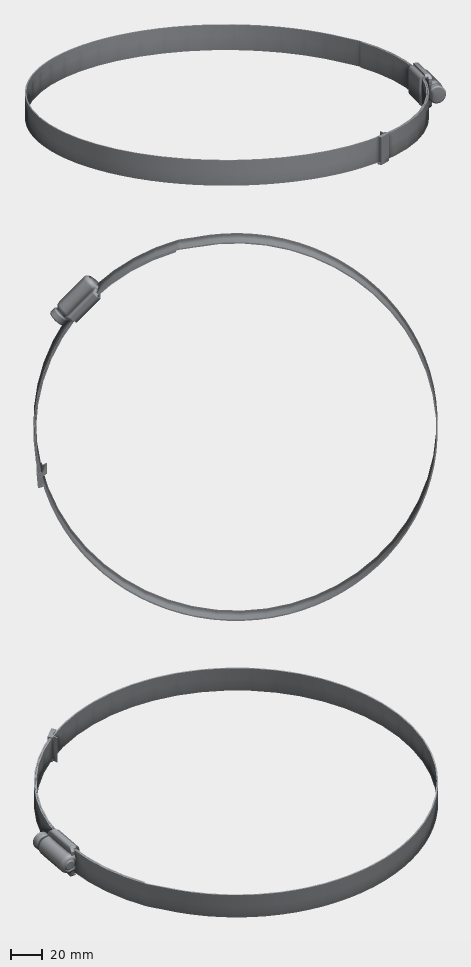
import cadquery as cq
import math


band_radius = 125.9
band_thickness = 0.8
band_half_width = 8.5
layer_gap = 0.13
inner_end_angle = 119.5
jog_top_angle = 120.5
jog_foot_angle = 125.0
tail_end_angle = 31.0
bore_radius = band_radius - band_thickness
tail_inner_radius = band_radius + layer_gap
tail_outer_radius = tail_inner_radius + band_thickness

saddle_start_x = -6.8
saddle_end_x = 15.0
saddle_bottom_y = 122.2
saddle_half_width = 10.0
saddle_sheet = 1.5
saddle_corner_radius = 2.6

flange_top_y = 129.5
flange_sheet = 2.0
flange_width = 23.0
flange_half_width = flange_width / 2
flange_corner_radius = 1.8
flange_overhang = 2.6
skirt_bottom_y = 125.5
dome_start_x = -10.5
dome_end_x = 18.2
dome_top_y = 137.5
dome_radius = 6.5
dome_end_fillet = 3.0
dome_center_y = dome_top_y - dome_radius
flange_underside_y = flange_top_y - flange_sheet

screw_axis_y = 131.0
shank_radius = 4.0
screw_clearance = 0.3
tip_chamfer = 1.0
head_start_x = 19.0
head_end_x = 24.2
head_radius = 5.8
head_fillet = 1.0

clip_angle = 32.3
clip_half_length = 4.7
clip_half_width = 9.2
clip_sheet = 0.8
clip_near_radius = 127.7
clip_far_radius = 129.3
clip_wall_foot_radius = 124.3
clip_wall_deep_offset = 1.5
lip_tip_radius = 121.5
lip_root_radius = 124.8
lip_root_offset = 2.0
lip_lean = 1.0


def polar(radius, angle):
    """Point in the XY plane at an angle in degrees from +X."""
    return (radius * math.cos(math.radians(angle)), radius * math.sin(math.radians(angle)))


def make_band():
    """Strip wound once around, stepping outward to run over its own inner end."""
    half_turn = 180
    lower_middle_angle = (inner_end_angle - half_turn) / 2
    upper_middle_angle = (jog_foot_angle + half_turn) / 2
    tail_middle_angle = (jog_top_angle + tail_end_angle) / 2
    return (
        cq.Workplane("XY")
        .workplane(offset=-band_half_width)
        .moveTo(*polar(bore_radius, inner_end_angle))
        .threePointArc(polar(bore_radius, lower_middle_angle), polar(bore_radius, half_turn))
        .threePointArc(polar(bore_radius, upper_middle_angle), polar(bore_radius, jog_foot_angle))
        .lineTo(*polar(tail_inner_radius, jog_top_angle))
        .threePointArc(
            polar(tail_inner_radius, tail_middle_angle), polar(tail_inner_radius, tail_end_angle)
        )
        .lineTo(*polar(tail_outer_radius, tail_end_angle))
        .threePointArc(
            polar(tail_outer_radius, tail_middle_angle), polar(tail_outer_radius, jog_top_angle)
        )
        .lineTo(*polar(band_radius, jog_foot_angle))
        .threePointArc(polar(band_radius, upper_middle_angle), polar(band_radius, half_turn))
        .threePointArc(polar(band_radius, lower_middle_angle), polar(band_radius, inner_end_angle))
        .close()
        .extrude(2 * band_half_width)
    )


def box_between(start, end):
    """Box given by two opposite corners."""
    size = [b - a for a, b in zip(start, end)]
    return cq.Workplane("XY").box(*size, centered=False).translate(start)


def make_saddle():
    """Channel with rounded lower corners and its open side towards the housing."""
    channel = box_between(
        (saddle_start_x, saddle_bottom_y, -saddle_half_width),
        (saddle_end_x, flange_underside_y, saddle_half_width),
    )
    channel = channel.faces("<Y").edges("|X").fillet(saddle_corner_radius)
    inner_half_width = saddle_half_width - saddle_sheet
    opening = box_between(
        (saddle_start_x, saddle_bottom_y + saddle_sheet, -inner_half_width),
        (saddle_end_x, flange_underside_y, inner_half_width),
    )
    return channel.cut(opening)


def make_flange():
    """Flat flange with a folded-down skirt along each long side and tapered ends."""
    start_x = saddle_start_x - flange_overhang
    end_x = saddle_end_x + flange_overhang
    flange = box_between(
        (start_x, skirt_bottom_y, -flange_half_width), (end_x, flange_top_y, flange_half_width)
    )
    flange = flange.edges("|Y").chamfer(flange_overhang)
    flange = flange.faces(">Y").edges("|X").fillet(flange_corner_radius)
    underside = box_between(
        (start_x, skirt_bottom_y, -saddle_half_width), (end_x, flange_underside_y, saddle_half_width)
    )
    return flange.cut(underside)


def make_dome():
    """Arched cover over the screw with rounded ends."""
    dome = (
        cq.Workplane("YZ")
        .workplane(offset=dome_start_x)
        .moveTo(flange_underside_y, -dome_radius)
        .lineTo(dome_center_y, -dome_radius)
        .threePointArc((dome_top_y, 0), (dome_center_y, dome_radius))
        .lineTo(flange_underside_y, dome_radius)
        .close()
        .extrude(dome_end_x - dome_start_x)
    )
    return dome.faces("<X or >X").edges("not <Y").fillet(dome_end_fillet)


def rod(start_x, end_x, radius):
    """Round rod on the screw axis."""
    return (
        cq.Workplane("YZ")
        .workplane(offset=start_x)
        .center(screw_axis_y, 0)
        .circle(radius)
        .extrude(end_x - start_x)
    )


def make_housing():
    """Flange and dome with the screw bore running through both ends."""
    bore = rod(dome_start_x, dome_end_x, shank_radius + screw_clearance)
    return make_flange().union(make_dome()).cut(bore)


def make_screw():
    """Shank with a chamfered tip and a round head past the +X end of the housing."""
    shank = rod(dome_start_x, head_start_x, shank_radius).faces("<X").chamfer(tip_chamfer)
    head = rod(head_start_x, head_end_x, head_radius).edges().fillet(head_fillet)
    return shank.union(head)


def clip_prism(outline, z_start, z_end):
    """Prism from an outline given as (radial, tangential) points in the clip frame."""
    prism = cq.Workplane("XY").workplane(offset=z_start).polyline(outline).close()
    return prism.extrude(z_end - z_start).rotate((0, 0, 0), (0, 0, 1), clip_angle)


def make_clip():
    """Sloping plate over the tail, a wall past each band edge and a lip inside the band."""
    plate_top = [(clip_far_radius, -clip_half_length), (clip_near_radius, clip_half_length)]
    plate_underside = [(radial - clip_sheet, along) for radial, along in reversed(plate_top)]
    wall_foot = [
        (clip_wall_foot_radius, clip_half_length),
        (clip_wall_foot_radius, clip_wall_deep_offset),
        (band_radius, clip_wall_deep_offset),
        (band_radius, -clip_half_length),
    ]
    lip_tip_offset = lip_root_offset + lip_lean
    lip = [
        (lip_root_radius, lip_root_offset),
        (lip_tip_radius, lip_tip_offset),
        (lip_tip_radius, lip_tip_offset + clip_sheet),
        (lip_root_radius, lip_root_offset + clip_sheet),
    ]
    clip = clip_prism(plate_top + plate_underside, -clip_half_width, clip_half_width)
    clip = clip.union(clip_prism(lip, -clip_half_width, clip_half_width))
    for wall_start in (-clip_half_width, band_half_width):
        wall_end = wall_start + clip_half_width - band_half_width
        clip = clip.union(clip_prism(plate_top + wall_foot, wall_start, wall_end))
    return clip


band = make_band()
saddle = make_saddle()
housing = make_housing()
screw = make_screw()
clip = make_clip()

result = cq.Compound.makeCompound(
    [body.solids().val() for body in (band, saddle, housing, screw, clip)]
)